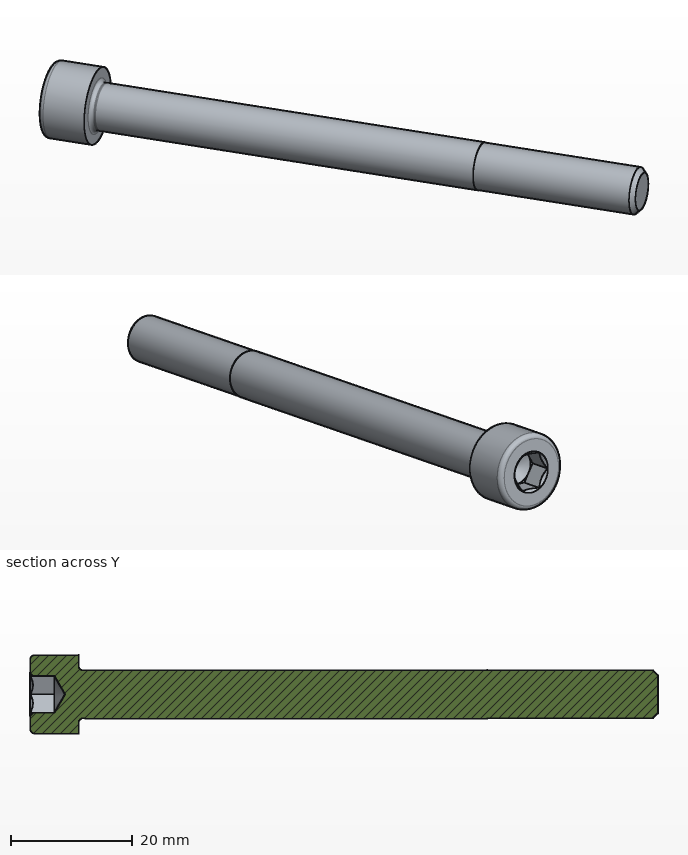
import cadquery as cq
import math

total_length = 103.0
head_diameter = 13.0
head_height = 8.0
head_edge_radius = 0.8

shank_diameter = 8.0
thread_diameter = 7.9
thread_length = 28.0
tip_chamfer = 0.8

neck_diameter = 7.9
neck_length = 0.8
neck_fillet_radius = 0.7
neck_step_length = 0.2

socket_across_flats = 6.0
socket_mouth_diameter = 7.0
socket_depth = 4.0
countersink_angle = 45.0
drill_point_angle = 120.0


def cone_along_x(start, base_radius, half_angle):
    """Cone with its base in the plane X = start and its apex towards +X."""
    height = base_radius / math.tan(math.radians(half_angle))
    outline = cq.Workplane("XY").moveTo(start, 0).lineTo(start, base_radius).lineTo(start + height, 0).close()
    return outline.revolve(360, (0, 0, 0), (1, 0, 0))


def make_head():
    head = cq.Workplane("YZ").circle(head_diameter / 2).extrude(head_height)
    return head.faces("<X").edges().fillet(head_edge_radius)


def make_shank():
    """Plain shank and thread envelope, revolved with the filleted neck under the head."""
    shank_radius = shank_diameter / 2
    thread_radius = thread_diameter / 2
    neck_radius = neck_diameter / 2
    neck_end = head_height + neck_length
    arc_offset = neck_fillet_radius * (1 - math.sqrt(0.5))
    arc_middle = (head_height + arc_offset, neck_radius + arc_offset)
    thread_start = total_length - thread_length
    outline = (
        cq.Workplane("XY")
        .moveTo(head_height, 0)
        .lineTo(head_height, neck_radius + neck_fillet_radius)
        .threePointArc(arc_middle, (head_height + neck_fillet_radius, neck_radius))
        .lineTo(neck_end, neck_radius)
        .lineTo(neck_end + neck_step_length, shank_radius)
        .lineTo(thread_start, shank_radius)
        .lineTo(thread_start, thread_radius)
        .lineTo(total_length - tip_chamfer, thread_radius)
        .lineTo(total_length, thread_radius - tip_chamfer)
        .lineTo(total_length, 0)
        .close()
    )
    return outline.revolve(360, (0, 0, 0), (1, 0, 0))


def make_socket():
    across_corners = socket_across_flats / math.cos(math.pi / 6)
    hexagon = cq.Workplane("YZ").polygon(6, across_corners).extrude(socket_depth)
    countersink = cone_along_x(0, socket_mouth_diameter / 2, countersink_angle)
    drill_point = cone_along_x(socket_depth, socket_across_flats / 2, drill_point_angle / 2)
    return hexagon.union(countersink).union(drill_point)


result = make_head().union(make_shank()).cut(make_socket())